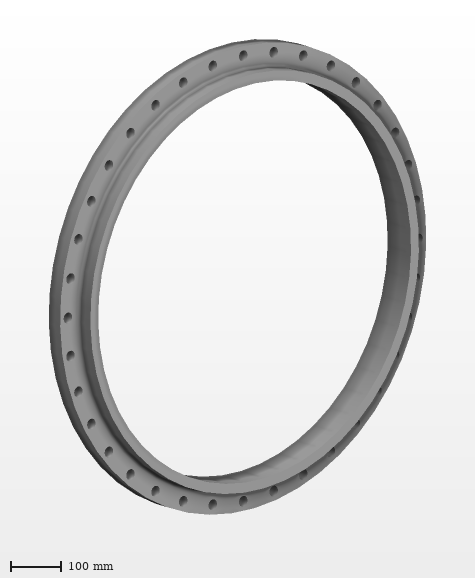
import cadquery as cq
import math

outer_diameter = 958.85
bore_diameter = 819.15
hub_diameter = 860.425
total_length = 71.4375

raised_face_diameter = 895.35
raised_face_height = 1.5875
raised_face_draft_angle = 15

plate_thickness = 34.925
plate_back_x = raised_face_height + plate_thickness
hub_fillet_radius = 6.35

bolt_circle_diameter = 918.4
bolt_hole_diameter = 22.0
bolt_hole_count = 36


def flange_profile():
    """Half section in the XZ plane, with the radius along +Z."""
    bore_radius = bore_diameter / 2
    raised_face_radius = raised_face_diameter / 2
    rim_spread = raised_face_height * math.tan(math.radians(raised_face_draft_angle))
    outer_radius = outer_diameter / 2
    hub_radius = hub_diameter / 2
    fillet_center = cq.Vector(plate_back_x + hub_fillet_radius, hub_radius + hub_fillet_radius)
    fillet_middle = fillet_center - cq.Vector(1, 1).normalized() * hub_fillet_radius
    return (
        cq.Workplane("XZ")
        .moveTo(0, bore_radius)
        .lineTo(0, raised_face_radius)
        .lineTo(raised_face_height, raised_face_radius + rim_spread)
        .lineTo(raised_face_height, outer_radius)
        .lineTo(plate_back_x, outer_radius)
        .lineTo(plate_back_x, fillet_center.y)
        .threePointArc((fillet_middle.x, fillet_middle.y), (fillet_center.x, hub_radius))
        .lineTo(total_length, hub_radius)
        .lineTo(total_length, bore_radius)
        .close()
    )


def flange_ring():
    """Section turned a full circle about the X axis."""
    return flange_profile().revolve(360, (0, 0, 0), (1, 0, 0))


def bolt_holes():
    """Cylinders that pass through the plate, evenly spaced on the bolt circle."""
    first_hole_angle = 90
    return (
        cq.Workplane("YZ")
        .polarArray(bolt_circle_diameter / 2, first_hole_angle, 360, bolt_hole_count)
        .circle(bolt_hole_diameter / 2)
        .extrude(plate_back_x)
    )


result = flange_ring().cut(bolt_holes())